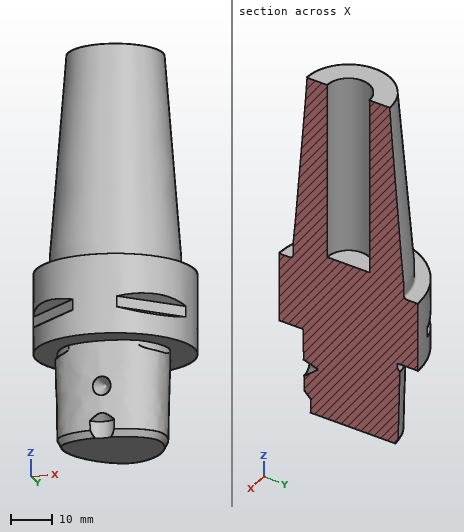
import cadquery as cq
import math

total_height = 99.0
flange_bottom = 24.0
flange_height = 20.0
flange_top = flange_bottom + flange_height
cone_base = 48.0

flange_radius = 20.0
nose_base_radius = 16.0
nose_tip_radius = 12.0
nose_root_fillet = 0.9
bore_radius = 6.0
bore_depth = total_height - cone_base

shank_mean_diameter = 28.0
lobe_eccentricity = 0.9
outline_samples = 120
shank_taper = 1 / 20
taper_top = 21.6
lobe_relief_radius = 14.2
lobe_relief_straight = 0.9
lobe_relief_fillet = 1.3
lead_chamfer_height = 1.8
lead_chamfer_width = 0.9

groove_count = 4
groove_start_angle = 45.0
groove_height = 2.7
groove_center_z = 31.9
groove_floor_distance = 17.5
groove_side_angle = 27.0

dimple_tip_y = -8.8
dimple_tip_z = 13.7
dimple_half_angle = 29.0
dimple_tilt = 11.0
dimple_cutter_length = 5.9

notch_radius = 4.0
notch_axis_y = -14.9
notch_straight_height = 4.2
notch_tip_angle = 90.0


def lobed_outline(mean_diameter):
    """Return the trochoidal outline with one lobe pointing toward +Y."""
    def point(t):
        angle = 2 * math.pi * t
        along = (
            mean_diameter / 2 * math.cos(angle)
            - 2 * lobe_eccentricity * math.cos(2 * angle)
            + lobe_eccentricity * math.cos(4 * angle)
        )
        across = (
            mean_diameter / 2 * math.sin(angle)
            + 2 * lobe_eccentricity * math.sin(2 * angle)
            + lobe_eccentricity * math.sin(4 * angle)
        )
        return across, -along
    return point


def lobed_section(mean_diameter, z):
    plane = cq.Workplane("XY", origin=(0, 0, z))
    return plane.parametricCurve(lobed_outline(mean_diameter), N=outline_samples).val()


def make_flange_and_nose():
    """Flange, cylindrical collar, fillet and tapered nose as one turned shape."""
    fillet_start = (nose_base_radius + nose_root_fillet, flange_top)
    fillet_end = (nose_base_radius, flange_top + nose_root_fillet)
    return (
        cq.Workplane("XZ")
        .moveTo(0, flange_bottom)
        .lineTo(flange_radius, flange_bottom)
        .lineTo(flange_radius, flange_top)
        .lineTo(*fillet_start)
        .radiusArc(fillet_end, nose_root_fillet)
        .lineTo(nose_base_radius, cone_base)
        .lineTo(nose_tip_radius, total_height)
        .lineTo(0, total_height)
        .close()
        .revolve(360, (0, 0, 0), (0, 1, 0))
    )


def make_shank():
    """Tapered shank, its straight neck and the lead chamfer around the lower end."""
    bottom_section = lobed_section(shank_mean_diameter - shank_taper * taper_top, 0)
    top_section = lobed_section(shank_mean_diameter, taper_top)
    taper = cq.Solid.makeLoft([bottom_section, top_section])
    neck = cq.Solid.extrudeLinear(top_section, [], cq.Vector(0, 0, flange_bottom - taper_top))
    shank = cq.Workplane(taper).union(cq.Workplane(neck))
    return shank.faces("<Z").chamfer(lead_chamfer_height, lead_chamfer_width)


def make_lobe_relief():
    """Turned ring under the flange that trims the lobes and fillets out below."""
    straight_end_z = flange_bottom - lobe_relief_straight
    outer_radius = lobe_relief_radius + lobe_relief_fillet
    return (
        cq.Workplane("XZ")
        .moveTo(lobe_relief_radius, flange_bottom)
        .lineTo(lobe_relief_radius, straight_end_z)
        .radiusArc((outer_radius, straight_end_z - lobe_relief_fillet), -lobe_relief_fillet)
        .lineTo(outer_radius, flange_bottom)
        .close()
        .revolve(360, (0, 0, 0), (0, 1, 0))
    )


def make_gripper_groove(direction_angle):
    """Straight groove with a flat floor and flaring sides, facing direction_angle."""
    depth = flange_radius - groove_floor_distance
    floor_half = groove_height / 2
    mouth_half = floor_half + depth * math.tan(math.radians(groove_side_angle))
    return (
        cq.Workplane("XZ", origin=(0, flange_radius, groove_center_z))
        .moveTo(groove_floor_distance, -floor_half)
        .lineTo(flange_radius, -mouth_half)
        .lineTo(flange_radius, mouth_half)
        .lineTo(groove_floor_distance, floor_half)
        .close()
        .extrude(2 * flange_radius)
        .rotate((0, 0, 0), (0, 0, 1), direction_angle)
    )


def make_bore():
    return cq.Workplane("XY", origin=(0, 0, total_height)).circle(bore_radius).extrude(-bore_depth)


def make_dimple():
    """Cone widening outward from its buried tip, long enough to clear the surface."""
    tilt = math.radians(dimple_tilt)
    tip = cq.Vector(0, dimple_tip_y, dimple_tip_z)
    outward = cq.Vector(0, -math.cos(tilt), -math.sin(tilt))
    mouth_radius = dimple_cutter_length * math.tan(math.radians(dimple_half_angle))
    return cq.Workplane(cq.Solid.makeCone(0, mouth_radius, dimple_cutter_length, tip, outward))


def make_key_notch():
    """Vertical drilled hole with a conical end, its axis outside the shank."""
    tip_height = notch_radius / math.tan(math.radians(notch_tip_angle / 2))
    return (
        cq.Workplane("XZ", origin=(0, notch_axis_y, 0))
        .lineTo(notch_radius, 0)
        .lineTo(notch_radius, notch_straight_height)
        .lineTo(0, notch_straight_height + tip_height)
        .close()
        .revolve(360, (0, 0, 0), (0, 1, 0))
    )


shank = make_shank().cut(make_lobe_relief()).cut(make_dimple()).cut(make_key_notch())
result = make_flange_and_nose().union(shank).cut(make_bore())
for groove_index in range(groove_count):
    groove_angle = groove_start_angle + groove_index * 360 / groove_count
    result = result.cut(make_gripper_groove(groove_angle))